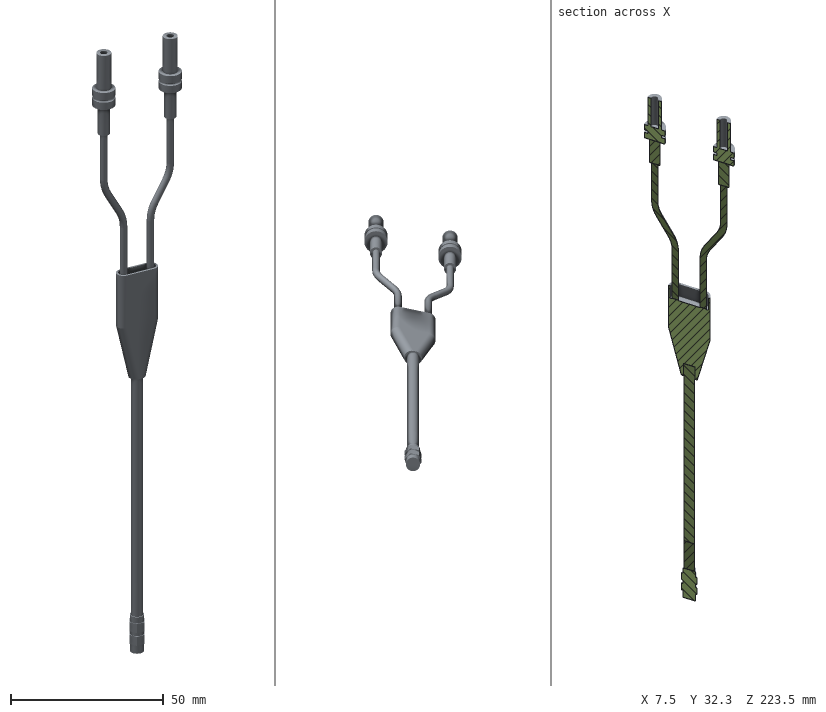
import cadquery as cq
import math


TOTAL_LENGTH = 223.5

CONNECTOR_SPACING = 24.8
BARREL_DIAMETER = 5.0
BARREL_LENGTH = 13.0
BORE_DIAMETER = 2.5
COLLAR_DIAMETER = 7.5
COLLAR_RING_LENGTH = 2.7
COLLAR_GROOVE_WIDTH = 1.0

BRANCH_TAIL_DIAMETER = 4.0
BRANCH_TAIL_LENGTH = 10.5
BRANCH_CABLE_DIAMETER = 2.5
BRANCH_CABLE_SPACING = 10.0
BEND_START_Z = 176.8
BEND_RADIUS = 12.0
BEND_ANGLE = 30.0

SPLITTER_TOP_Z = 140.5
SPLITTER_STRAIGHT_LENGTH = 19.5
SPLITTER_TAPER_LENGTH = 20.0
SPLITTER_THICKNESS = 5.0
SPLITTER_TIP_FLAT = 1.0
RECESS_WALL = 0.7
RECESS_DEPTH = 5.5
TRUNK_SOCKET_DEPTH = 5.5

TRUNK_DIAMETER = 4.0
PLUG_TAIL_LENGTH = 12.5
PLUG_LENGTH = 13.5
PLUG_DIAMETER = 4.7
PLUG_TIP_LENGTH = 3.1
HEX_ACROSS_FLATS = 5.0
HEX_LENGTH = 3.4
HEX_GAP = 1.3

collar_top_z = TOTAL_LENGTH - BARREL_LENGTH
connector_bottom_z = collar_top_z - 2 * COLLAR_RING_LENGTH - COLLAR_GROOVE_WIDTH
branch_tail_bottom_z = connector_bottom_z - BRANCH_TAIL_LENGTH
recess_floor_z = SPLITTER_TOP_Z - RECESS_DEPTH
taper_top_z = SPLITTER_TOP_Z - SPLITTER_STRAIGHT_LENGTH
splitter_bottom_z = taper_top_z - SPLITTER_TAPER_LENGTH
trunk_top_z = splitter_bottom_z + TRUNK_SOCKET_DEPTH
trunk_bottom_z = PLUG_LENGTH + PLUG_TAIL_LENGTH


def cylinder(diameter, bottom_z, top_z, y=0.0):
    """Upright cylinder on the plane X = 0."""
    return (
        cq.Workplane("XY", origin=(0, y, bottom_z))
        .circle(diameter / 2)
        .extrude(top_z - bottom_z)
    )


def make_connector(side):
    """Barrel, bored down to the collar, with two collar rings and a groove between them."""
    y = side * CONNECTOR_SPACING / 2
    lower_ring_top_z = connector_bottom_z + COLLAR_RING_LENGTH
    connector = cylinder(BARREL_DIAMETER, connector_bottom_z, TOTAL_LENGTH, y)
    for ring_top_z in (collar_top_z, lower_ring_top_z):
        ring = cylinder(COLLAR_DIAMETER, ring_top_z - COLLAR_RING_LENGTH, ring_top_z, y)
        connector = connector.union(ring)
    return connector.cut(cylinder(BORE_DIAMETER, collar_top_z, TOTAL_LENGTH, y))


def make_branch_tail(side):
    """Solid tail between the connector and its cable."""
    y = side * CONNECTOR_SPACING / 2
    return cylinder(BRANCH_TAIL_DIAMETER, branch_tail_bottom_z, connector_bottom_z, y)


def make_branch_cable(side):
    """Cable with an S-bend from the connector spacing to the narrower splitter spacing."""
    angle = math.radians(BEND_ANGLE)
    bend_drop = BEND_RADIUS * math.sin(angle)
    bend_shift = BEND_RADIUS * (1 - math.cos(angle))
    half_angle_drop = BEND_RADIUS * math.sin(angle / 2)
    half_angle_shift = BEND_RADIUS * (1 - math.cos(angle / 2))

    outer_y = CONNECTOR_SPACING / 2
    inner_y = BRANCH_CABLE_SPACING / 2
    slant_shift = outer_y - inner_y - 2 * bend_shift
    slant_drop = slant_shift / math.tan(angle)
    bend_end_z = BEND_START_Z - 2 * bend_drop - slant_drop

    path = (
        cq.Workplane("YZ")
        .moveTo(side * outer_y, branch_tail_bottom_z)
        .lineTo(side * outer_y, BEND_START_Z)
        .threePointArc(
            (side * (outer_y - half_angle_shift), BEND_START_Z - half_angle_drop),
            (side * (outer_y - bend_shift), BEND_START_Z - bend_drop),
        )
        .lineTo(side * (inner_y + bend_shift), bend_end_z + bend_drop)
        .threePointArc(
            (side * (inner_y + half_angle_shift), bend_end_z + half_angle_drop),
            (side * inner_y, bend_end_z),
        )
        .lineTo(side * inner_y, recess_floor_z)
    )
    return (
        cq.Workplane("XY", origin=(0, side * outer_y, branch_tail_bottom_z))
        .circle(BRANCH_CABLE_DIAMETER / 2)
        .sweep(path)
    )


def stadium(z, flat_width, thickness):
    """Outline with two straight sides along Y and round ends, at height z."""
    return cq.Workplane("XY", origin=(0, 0, z)).slot2D(flat_width + thickness, thickness, 90)


def make_splitter():
    """Flat block with round edges that tapers to the trunk, recessed at the top for the cables."""
    straight = stadium(taper_top_z, BRANCH_CABLE_SPACING, SPLITTER_THICKNESS)
    straight = straight.extrude(SPLITTER_STRAIGHT_LENGTH)

    tip_outline = stadium(splitter_bottom_z, SPLITTER_TIP_FLAT, SPLITTER_THICKNESS).val()
    wide_outline = stadium(taper_top_z, BRANCH_CABLE_SPACING, SPLITTER_THICKNESS).val()
    taper = cq.Solid.makeLoft([tip_outline, wide_outline], True)

    recess_thickness = SPLITTER_THICKNESS - 2 * RECESS_WALL
    recess = stadium(recess_floor_z, BRANCH_CABLE_SPACING, recess_thickness)
    recess = recess.extrude(RECESS_DEPTH)

    socket = cylinder(TRUNK_DIAMETER, splitter_bottom_z, trunk_top_z)
    return straight.union(taper).cut(recess).cut(socket)


def make_trunk_cable():
    """Straight cable from the splitter socket down to the plug tail."""
    return cylinder(TRUNK_DIAMETER, trunk_bottom_z, trunk_top_z)


def make_plug_tail():
    """Solid tail between the plug and the trunk cable, as thick as the cable."""
    return cylinder(TRUNK_DIAMETER, PLUG_LENGTH, trunk_bottom_z)


def make_plug():
    """Round plug with two hexagons, whose corners point along Y."""
    plug = cylinder(PLUG_DIAMETER, 0, PLUG_LENGTH)
    across_corners = HEX_ACROSS_FLATS / math.cos(math.pi / 6)
    for index in range(2):
        hex_bottom_z = PLUG_TIP_LENGTH + index * (HEX_LENGTH + HEX_GAP)
        hexagon = (
            cq.Workplane("XY", origin=(0, 0, hex_bottom_z))
            .transformed(rotate=(0, 0, 90))
            .polygon(6, across_corners)
            .extrude(HEX_LENGTH)
        )
        plug = plug.union(hexagon)
    return plug


branch_bodies = []
for branch_side in (-1, 1):
    branch_bodies.append(make_connector(branch_side).val())
    branch_bodies.append(make_branch_tail(branch_side).val())
    branch_bodies.append(make_branch_cable(branch_side).val())

splitter = make_splitter()
trunk_cable = make_trunk_cable()
plug_tail = make_plug_tail()
plug = make_plug()

result = cq.Compound.makeCompound(
    [*branch_bodies, splitter.val(), trunk_cable.val(), plug_tail.val(), plug.val()]
)